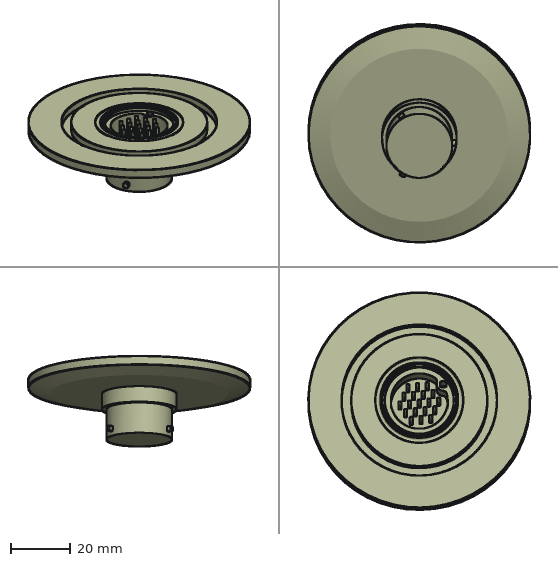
import cadquery as cq
import math


flange_diameter = 74.9
rim_bottom_depth = 3.1
flange_thickness = 5.1
taper_angle = 15.0
rim_edge_break = 0.15

collar_diameter = 25.2
collar_bottom_depth = 10.4
barrel_diameter = 22.2
total_height = 20.8

ring_groove_outer_diameter = 52.4
ring_groove_inner_diameter = 46.0
ring_groove_depth = 2.7

groove_edge_break = 0.1

weld_groove_outer_diameter = 29.6
weld_groove_low_diameter = 27.9
weld_groove_inner_diameter = 26.3
weld_groove_depth = 0.8

shell_step_diameter = 24.9
shell_step_depth = 0.2
recess_diameter = 23.3
recess_depth = 1.35
contact_well_diameter = 19.25
contact_well_depth = 8.6

key_hole_diameter = 2.3
key_offset = 10.0
key_rib_radius = 2.25
key_rib_corner_radius = 1.65

pin_diameter = 1.05
pin_pitch = 3.3
pin_tip_depth = 0.8
pin_tip_fillet = 0.45
pin_root = 0.4
rings_of_pins = 2

stud_diameter = 1.9
stud_tip_radius = 12.4
stud_depth = 18.3
stud_angles = (-90, 30, 150)


def disc(diameter, top_depth, bottom_depth):
    """Vertical cylinder between two depths below the top face."""
    height = bottom_depth - top_depth
    return cq.Workplane("XY").workplane(offset=-bottom_depth).circle(diameter / 2).extrude(height)


def make_body():
    """Revolved flange, collar and barrel, with the top face at Z = 0."""
    flange_radius = flange_diameter / 2
    taper_slope = math.tan(math.radians(taper_angle))
    taper_foot_radius = flange_radius - (flange_thickness - rim_bottom_depth) / taper_slope
    profile = [
        (0, 0),
        (flange_radius - rim_edge_break, 0),
        (flange_radius, -rim_edge_break),
        (flange_radius, -rim_bottom_depth + rim_edge_break),
        (flange_radius - rim_edge_break, -rim_bottom_depth - rim_edge_break * taper_slope),
        (taper_foot_radius, -flange_thickness),
        (collar_diameter / 2, -flange_thickness),
        (collar_diameter / 2, -collar_bottom_depth),
        (barrel_diameter / 2, -collar_bottom_depth),
        (barrel_diameter / 2, -total_height),
        (0, -total_height),
    ]
    return cq.Workplane("XZ").polyline(profile).close().revolve(360, (0, 0), (0, 1))


def make_ring_groove():
    """Square-bottomed ring with both top edges broken."""
    inner_radius = ring_groove_inner_diameter / 2
    outer_radius = ring_groove_outer_diameter / 2
    section = [
        (inner_radius - groove_edge_break, 0),
        (inner_radius, -groove_edge_break),
        (inner_radius, -ring_groove_depth),
        (outer_radius, -ring_groove_depth),
        (outer_radius, -groove_edge_break),
        (outer_radius + groove_edge_break, 0),
    ]
    return cq.Workplane("XZ").polyline(section).close().revolve(360, (0, 0), (0, 1))


def level_arc_midpoint(low_radius, edge_radius, rise):
    """Middle of the arc that starts level at the groove's lowest circle and climbs by the given rise."""
    width = edge_radius - low_radius
    arc_radius = (width**2 + rise**2) / (2 * rise)
    half_sweep = math.atan2(rise, abs(width))
    reach = math.copysign(arc_radius * math.sin(half_sweep), width)
    return (low_radius + reach, arc_radius * (1 - math.cos(half_sweep)) - weld_groove_depth)


def make_weld_groove():
    """Ring whose bottom is two arcs that meet level at the lowest circle; its outer edge is broken."""
    inner_radius = weld_groove_inner_diameter / 2
    low_radius = weld_groove_low_diameter / 2
    outer_radius = weld_groove_outer_diameter / 2
    low_point = (low_radius, -weld_groove_depth)
    outer_rise = weld_groove_depth - groove_edge_break
    section = (
        cq.Workplane("XZ")
        .moveTo(inner_radius, 0)
        .threePointArc(level_arc_midpoint(low_radius, inner_radius, weld_groove_depth), low_point)
        .threePointArc(
            level_arc_midpoint(low_radius, outer_radius, outer_rise),
            (outer_radius, -groove_edge_break),
        )
        .lineTo(outer_radius + groove_edge_break, 0)
        .close()
    )
    return section.revolve(360, (0, 0), (0, 1))


def make_contact_well():
    """Round well with a rounded rib left standing around the key hole."""
    rib = disc(2 * key_rib_radius, recess_depth, contact_well_depth).translate((0, key_offset, 0))
    well = disc(contact_well_diameter, recess_depth, contact_well_depth).cut(rib)
    rib_corners = cq.selectors.BoxSelector(
        (-key_rib_radius, key_offset - key_rib_radius, -contact_well_depth),
        (key_rib_radius, key_offset + key_rib_radius, -recess_depth),
    )
    return well.edges("|Z").edges(rib_corners).fillet(key_rib_corner_radius)


def pin_positions():
    """Hexagonal array of points around the axis."""
    row_spacing = pin_pitch * math.sqrt(3) / 2
    points = []
    for row in range(-rings_of_pins, rings_of_pins + 1):
        pins_in_row = 2 * rings_of_pins + 1 - abs(row)
        for column in range(pins_in_row):
            x = (column - (pins_in_row - 1) / 2) * pin_pitch
            points.append((x, row * row_spacing))
    return points


def make_pins():
    """Round-tipped pins standing on the well floor."""
    pin = disc(pin_diameter, pin_tip_depth, contact_well_depth + pin_root)
    pin = pin.faces(">Z").edges().fillet(pin_tip_fillet)
    pins = cq.Workplane("XY")
    for x, y in pin_positions():
        pins = pins.add(pin.translate((x, y, 0)))
    return pins.combine()


def make_key_hole():
    return disc(key_hole_diameter, recess_depth, contact_well_depth).translate((0, key_offset, 0))


def make_stud(angle):
    """Radial stud reaching out from the axis at the given angle about Z."""
    stud = cq.Workplane("YZ").circle(stud_diameter / 2).extrude(stud_tip_radius)
    return stud.rotate((0, 0, 0), (0, 0, 1), angle).translate((0, 0, -stud_depth))


result = make_body()
for stud_angle in stud_angles:
    result = result.union(make_stud(stud_angle))
result = result.cut(make_ring_groove()).cut(make_weld_groove())
result = result.cut(disc(shell_step_diameter, 0, shell_step_depth))
result = result.cut(disc(recess_diameter, 0, recess_depth))
result = result.cut(make_contact_well())
result = result.cut(make_key_hole())
result = result.union(make_pins())